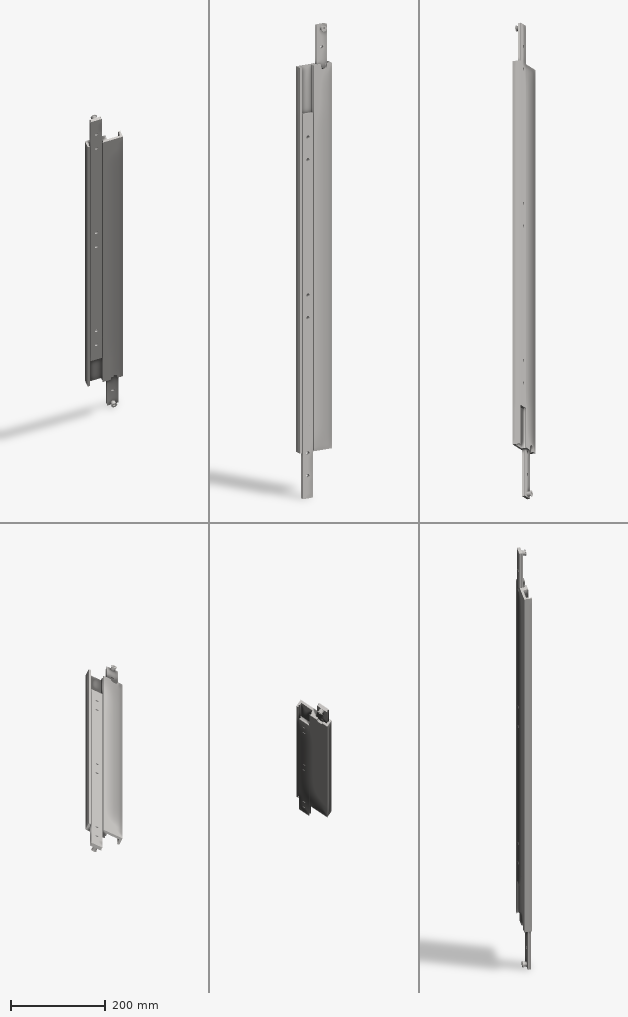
import cadquery as cq

total_length = 1039.0
thickness = 17.0
height = 80.0
half_thickness = thickness / 2
half_turn = 180

rail_length = 850.0
rail_width = 26.0
rail_thickness = 7.0
rail_offset = 20.3
hole_diameter = 7.0
hole_pitch = 50.0
hole_distances = [hole_pitch * step for step in (1, 2, 8, 9, 15, 16)]

stud_diameter = 14.0
stud_neck_diameter = 10.0
stud_hole_diameter = 5.0
stud_flange = 1.0
stud_length = thickness - rail_thickness
stud_inset = 7.0

profile_length = 852.0
profile_shift = 8.0
channel_width = 29.0
web = 5.0
channel_depth = thickness - web
notch_width = 15.0
notch_depth = 12.0

raceway_radius = 2.6
raceway_offset = (channel_width + rail_width) / 4
raceway_x = rail_thickness / 2


def make_raceways(length):
    """Pair of rods that cut the grooves facing each other across the running gaps."""
    return (
        cq.Workplane("XY")
        .pushPoints([(0, -raceway_offset), (0, raceway_offset)])
        .circle(raceway_radius)
        .extrude(length / 2, both=True)
    )


def make_notch(side):
    """Round-bottomed stud notch in the web opposite the given side."""
    radius = notch_width / 2
    straight = notch_depth - radius
    notch = (
        cq.Workplane("YZ")
        .moveTo(-radius, 0)
        .lineTo(-radius, -straight)
        .threePointArc((0, -notch_depth), (radius, -straight))
        .lineTo(radius, 0)
        .close()
        .extrude(web)
    )
    if side < 0:
        notch = notch.rotate((0, 0, 0), (0, 1, 0), half_turn)
    return notch.translate((
        -side * half_thickness, -side * rail_offset, side * profile_length / 2))


def make_profile():
    """S-section with raceways and a stud notch in one end of each web."""
    body = cq.Workplane("XY").box(thickness, height, profile_length)
    for side in (-1, 1):
        channel = cq.Workplane("XY").box(channel_depth, channel_width, profile_length)
        body = body.cut(channel.translate((
            side * (half_thickness - channel_depth / 2), -side * rail_offset, 0)))
        body = body.cut(make_raceways(profile_length).translate((
            side * (half_thickness - raceway_x), -side * rail_offset, 0)))
        body = body.cut(make_notch(side))
    return body.translate((0, 0, total_length / 2 + profile_shift))


def make_disc(diameter, start, length):
    """Cylinder on the stud axis, beginning at X = start."""
    return cq.Workplane("YZ", origin=(start, 0, stud_inset)).circle(diameter / 2).extrude(length)


def make_stud():
    """Flanged tubular stop on the inner face of the rail."""
    stud = make_disc(stud_neck_diameter, rail_thickness, stud_length)
    stud = stud.union(make_disc(stud_diameter, thickness - stud_flange, stud_flange))
    return stud.cut(make_disc(stud_hole_diameter, rail_thickness, stud_length))


def make_rail():
    """Drilled, grooved bar with its outer face at X = 0 and its stud end at Z = 0."""
    bar = cq.Workplane("XY").box(
        rail_thickness, rail_width, rail_length, centered=(False, True, False))
    bar = bar.cut(make_raceways(rail_length).translate((raceway_x, 0, rail_length / 2)))
    holes = (
        cq.Workplane("YZ")
        .pushPoints([(0, distance) for distance in hole_distances])
        .circle(hole_diameter / 2)
        .extrude(rail_thickness)
    )
    return bar.cut(holes).union(make_stud())


def place_rail(side):
    """Rail on the -X or +X side; the +X rail is turned end for end."""
    rail = make_rail()
    stud_end = 0
    if side > 0:
        rail = rail.rotate((0, 0, 0), (0, 1, 0), half_turn)
        stud_end = total_length
    return rail.translate((side * half_thickness, -side * rail_offset, stud_end))


profile = make_profile()
rails = [place_rail(side) for side in (-1, 1)]

result = cq.Compound.makeCompound([profile.val(), *[rail.val() for rail in rails]])